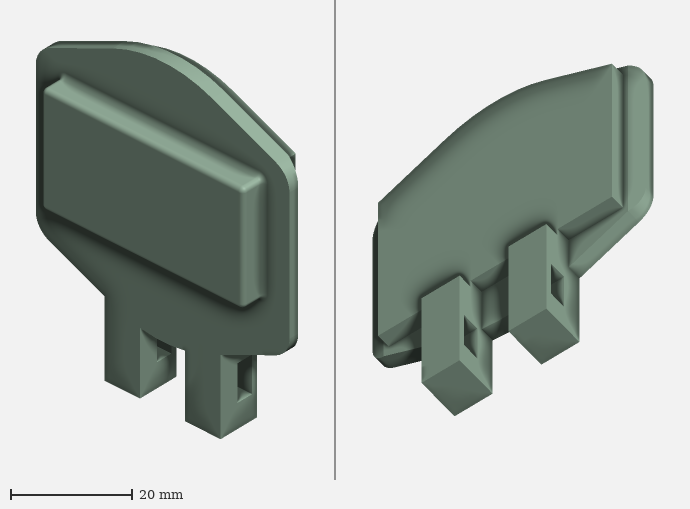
import cadquery as cq
import math


total_depth = 14.0
total_height = 68.8

pad_width = 45.1
pad_length = 23.95
pad_height = 5.0
pad_center_z = 2.9
pad_radius = 0.95

layer = (total_depth - pad_height) / 3

plate_half_width = 28.35
plate_radius = 27.65
flank_angle = 23.8
corner_radius = 5.0
bevel_width = 2.95
bevel_depth = 0.8

backing_half_width = 24.3
backing_radius = 25.7

prong_width = 7.9
prong_center_x = 9.0
prong_tip_z = plate_radius - total_height
prong_rear_top_z = -19.0
slot_depth = 3.6
slot_height = 7.85
slot_rear_wall = 1.25
slot_floor = 5.15
slot_bottom_z = prong_tip_z + slot_floor


def flank_end_z(radius, half_width):
    """Height where the flank tangent to the arc reaches the vertical side."""
    angle = math.radians(flank_angle)
    return (radius - half_width * math.sin(angle)) / math.cos(angle)


def domed_edge(profile, radius, half_width, side):
    """Draw flank, arc and flank from X = -side * half_width to the opposite side."""
    angle = math.radians(flank_angle)
    arc_x = side * radius * math.sin(angle)
    arc_z = side * radius * math.cos(angle)
    end_z = side * flank_end_z(radius, half_width)
    return (
        profile.lineTo(-arc_x, arc_z)
        .threePointArc((0, side * radius), (arc_x, arc_z))
        .lineTo(side * half_width, end_z)
    )


def block(x_center, width, y_range, z_range):
    """Box centred on x_center that fills the given Y and Z ranges."""
    y_min, y_max = y_range
    z_min, z_max = z_range
    return (
        cq.Workplane("XY")
        .box(width, y_max - y_min, z_max - z_min, centered=(True, False, False))
        .translate((x_center, y_min, z_min))
    )


def make_plate():
    side_z = flank_end_z(plate_radius, plate_half_width)
    profile = cq.Workplane("XZ").moveTo(-plate_half_width, side_z)
    profile = domed_edge(profile, plate_radius, plate_half_width, 1)
    profile = profile.lineTo(plate_half_width, -side_z)
    profile = domed_edge(profile, plate_radius, plate_half_width, -1)
    plate = profile.close().extrude(-layer)
    plate = plate.edges("|Y and (<X or >X)").fillet(corner_radius)
    for side in (-1, 1):
        plate = plate.cut(make_bevel_cutter(side))
    return plate


def make_bevel_cutter(side):
    outer_x = side * plate_half_width
    inner_x = side * (plate_half_width - bevel_width)
    return (
        cq.Workplane("XY")
        .polyline([(inner_x, layer), (outer_x, layer), (outer_x, layer - bevel_depth)])
        .close()
        .extrude(plate_radius, both=True)
    )


def make_backing():
    """Domed at the top, flat at the bottom."""
    side_z = flank_end_z(backing_radius, backing_half_width)
    profile = cq.Workplane("XZ", origin=(0, layer, 0)).moveTo(-backing_half_width, side_z)
    profile = domed_edge(profile, backing_radius, backing_half_width, 1)
    profile = profile.lineTo(backing_half_width, -side_z).lineTo(-backing_half_width, -side_z)
    return profile.close().extrude(-layer)


def make_prong(x_center):
    backing_bottom_z = -flank_end_z(backing_radius, backing_half_width)
    rear_y = 3 * layer
    slot_rear_y = rear_y - slot_rear_wall
    front = block(x_center, prong_width, (0, 2 * layer), (prong_tip_z, backing_bottom_z))
    rear = block(x_center, prong_width, (2 * layer, rear_y), (prong_tip_z, prong_rear_top_z))
    slot = block(
        x_center,
        prong_width,
        (slot_rear_y - slot_depth, slot_rear_y),
        (slot_bottom_z, slot_bottom_z + slot_height),
    )
    return front.union(rear).cut(slot)


def make_pad():
    """Pad with rounded corners and a rounded front rim."""
    return (
        cq.Workplane("XZ")
        .center(0, pad_center_z)
        .rect(pad_width, pad_length)
        .extrude(pad_height)
        .edges("|Y")
        .fillet(pad_radius)
        .faces("<Y")
        .edges()
        .fillet(pad_radius)
    )


def round_pad_foot(body):
    """Fillet the edges where the pad meets the plate front, at Y = 0."""
    margin = pad_radius / 2
    half_width = pad_width / 2 + margin
    half_length = pad_length / 2 + margin
    foot_box = cq.selectors.BoxSelector(
        (-half_width, -margin, pad_center_z - half_length),
        (half_width, margin, pad_center_z + half_length),
        boundingbox=True,
    )
    return body.edges(foot_box).fillet(pad_radius)


result = round_pad_foot(make_plate().union(make_pad()))
result = result.union(make_backing())
for side in (-1, 1):
    result = result.union(make_prong(side * prong_center_x))